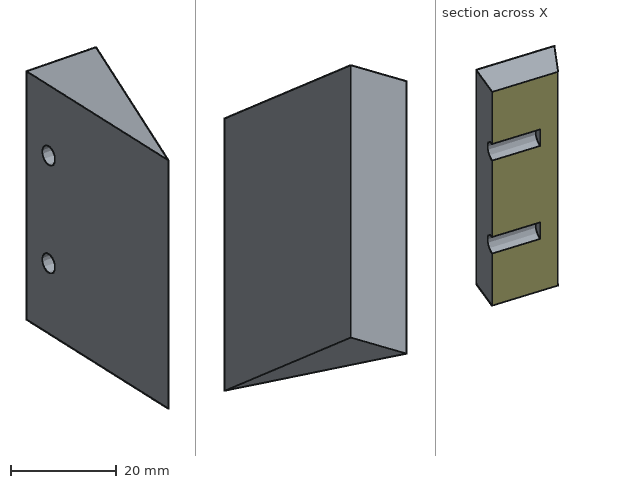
import cadquery as cq

length = 45.0
thickness = 16.4
height = 53.0

hole_diameter = 4.0
hole_depth = 10.0
hole_from_thick_end = 7.05
hole_spacing = 23.0


def make_wedge():
    """Right-triangle prism standing on the XY plane."""
    corners = [(0, 0), (length, 0), (0, thickness)]
    return cq.Workplane("XY").polyline(corners).close().extrude(height)


def make_holes():
    """Two flat-bottomed holes, centred on the wedge height."""
    centers = [(hole_from_thick_end, height / 2 + side * hole_spacing / 2) for side in (-1, 1)]
    return cq.Workplane("XZ").pushPoints(centers).circle(hole_diameter / 2).extrude(-hole_depth)


result = make_wedge().cut(make_holes())